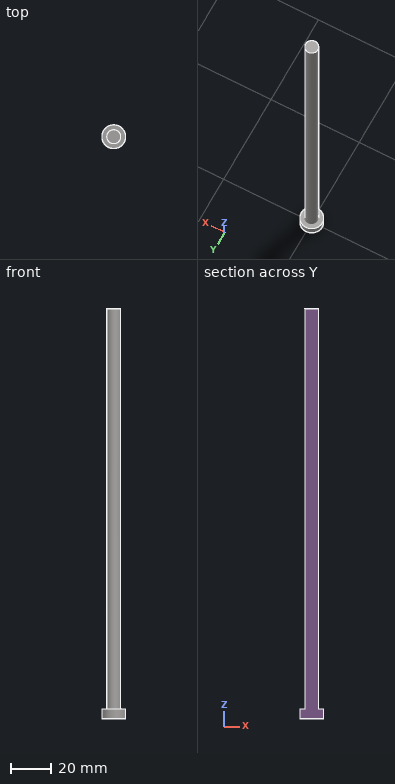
import cadquery as cq

total_length = 205.0
shank_diameter = 7.0
head_diameter = 12.0
head_height = 5.0
root_fillet_radius = 0.2

shank_length = total_length - head_height


def make_head():
    """Disc with its lower face at Z = 0."""
    return cq.Workplane("XY").circle(head_diameter / 2).extrude(head_height)


def make_shank():
    """Plain round shank rising from the upper face of the head."""
    head_top = cq.Workplane("XY").workplane(offset=head_height)
    return head_top.circle(shank_diameter / 2).extrude(shank_length)


def fillet_shank_root(pin):
    """Round the inner corner between the shank and the head."""
    shank_edges = pin.edges("%CIRCLE").edges(cq.selectors.RadiusNthSelector(0))
    root_edge = shank_edges.edges("<Z")
    return root_edge.fillet(root_fillet_radius)


result = fillet_shank_root(make_head().union(make_shank()))